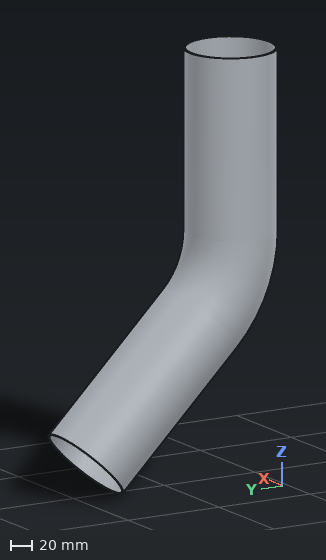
import cadquery as cq
import math

overall_height = 415.8
outer_diameter = 89.0
inner_diameter = 85.5
bend_radius = 115.5
bend_angle = 45.0

angle = math.radians(bend_angle)
bend_drop = bend_radius * math.sin(angle)
end_rim_drop = outer_diameter / 2 * math.sin(angle)
leg_length = (overall_height - bend_drop - end_rim_drop) / (1 + math.sin(angle))


def straight_leg(workplane):
    """Straight tube standing on the given workplane."""
    return workplane.circle(outer_diameter / 2).circle(inner_diameter / 2).extrude(leg_length)


upper_leg = straight_leg(cq.Workplane("XY"))

elbow = (
    cq.Workplane("XY")
    .circle(outer_diameter / 2)
    .circle(inner_diameter / 2)
    .revolve(bend_angle, (0, bend_radius, 0), (1, bend_radius, 0))
)

bend_end = (0, bend_radius * (1 - math.cos(angle)), -bend_drop)
slope_direction = (0, math.sin(angle), -math.cos(angle))
lower_leg = straight_leg(
    cq.Workplane(cq.Plane(origin=bend_end, xDir=(1, 0, 0), normal=slope_direction))
)

result = upper_leg.union(elbow).union(lower_leg)